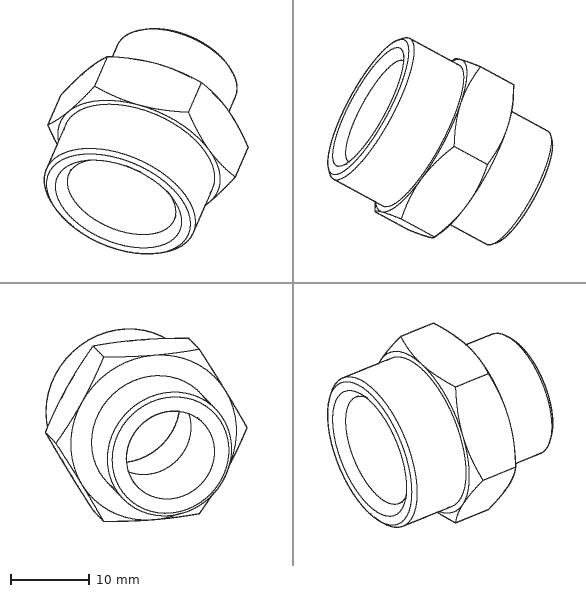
import cadquery as cq
import math

ACROSS_FLATS = 22.0
ACROSS_CORNERS = ACROSS_FLATS / math.cos(math.radians(30))
HEX_WIDTH = 7.0
HEX_CHAMFER_ANGLE = 30.0

LARGE_DIAMETER = 20.5
LARGE_LENGTH = 8.0
SMALL_DIAMETER = 16.5
SMALL_LENGTH = 8.0
SPIGOT_CHAMFER = 0.5

BORE_DIAMETER = 11.7
COUNTERBORE_DIAMETER = 14.7
COUNTERBORE_DEPTH = 11.0
MOUTH_DIAMETER = 17.1
SEAT_ANGLE = 120.0

TOTAL_LENGTH = LARGE_LENGTH + HEX_WIDTH + SMALL_LENGTH
FRONT_Y = -TOTAL_LENGTH / 2
BACK_Y = TOTAL_LENGTH / 2
HEX_FRONT_Y = FRONT_Y + LARGE_LENGTH
HEX_BACK_Y = HEX_FRONT_Y + HEX_WIDTH


def revolve_about_y(profile_points):
    """Revolve a closed (radius, y) outline about the Y axis."""
    outline = cq.Workplane("XY").polyline(profile_points).close()
    return outline.revolve(360, (0, 0, 0), (0, 1, 0))


def hex_collar():
    """Hexagonal prism with corners on the X axis, its corners turned off conically at both ends."""
    prism = (
        cq.Workplane("XZ", origin=(0, HEX_BACK_Y, 0))
        .polygon(6, ACROSS_CORNERS)
        .extrude(HEX_WIDTH)
    )
    flat_radius = ACROSS_FLATS / 2
    corner_radius = ACROSS_CORNERS / 2
    corner_setback = (corner_radius - flat_radius) * math.tan(math.radians(HEX_CHAMFER_ANGLE))
    turned_envelope = revolve_about_y([
        (0, HEX_FRONT_Y),
        (flat_radius, HEX_FRONT_Y),
        (corner_radius, HEX_FRONT_Y + corner_setback),
        (corner_radius, HEX_BACK_Y - corner_setback),
        (flat_radius, HEX_BACK_Y),
        (0, HEX_BACK_Y),
    ])
    return prism.intersect(turned_envelope)


def spigots():
    """Both cylindrical ends as one turned core, chamfered at the rims and tapered inside the collar."""
    large_radius = LARGE_DIAMETER / 2
    small_radius = SMALL_DIAMETER / 2
    return revolve_about_y([
        (0, FRONT_Y),
        (large_radius - SPIGOT_CHAMFER, FRONT_Y),
        (large_radius, FRONT_Y + SPIGOT_CHAMFER),
        (large_radius, HEX_FRONT_Y),
        (small_radius, HEX_BACK_Y),
        (small_radius, BACK_Y - SPIGOT_CHAMFER),
        (small_radius - SPIGOT_CHAMFER, BACK_Y),
        (0, BACK_Y),
    ])


def stepped_bore():
    """Through bore with a counterbore, a conical seat between them and a 45 degree mouth."""
    bore_radius = BORE_DIAMETER / 2
    counterbore_radius = COUNTERBORE_DIAMETER / 2
    mouth_radius = MOUTH_DIAMETER / 2
    mouth_depth = mouth_radius - counterbore_radius
    counterbore_end_y = FRONT_Y + COUNTERBORE_DEPTH
    seat_length = (counterbore_radius - bore_radius) / math.tan(math.radians(SEAT_ANGLE / 2))
    return revolve_about_y([
        (0, FRONT_Y),
        (mouth_radius, FRONT_Y),
        (counterbore_radius, FRONT_Y + mouth_depth),
        (counterbore_radius, counterbore_end_y),
        (bore_radius, counterbore_end_y + seat_length),
        (bore_radius, BACK_Y),
        (0, BACK_Y),
    ])


result = hex_collar().union(spigots()).cut(stepped_bore())